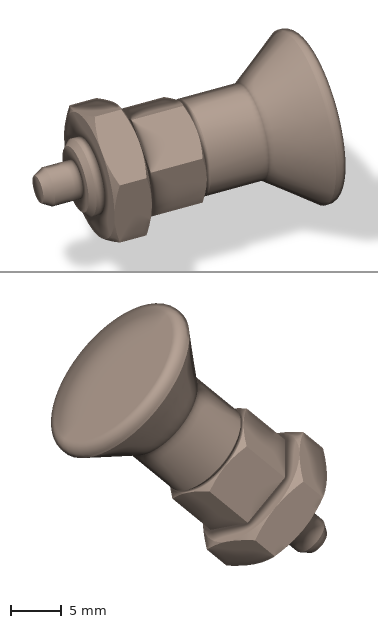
import cadquery as cq
import math


pin_diameter = 4.0
pin_tip_length = 1.0
pin_tip_angle = 30
pin_end = 4.0

thread_diameter = 8.0
thread_chamfer = 0.6

hex_chamfer_angle = 30
nut_flats = 13.0
nut_start = 5.5
nut_thickness = 4.0
body_flats = 10.0
body_start = 10.0
body_end = 16.0

sleeve_diameter = 10.0
sleeve_chamfer = 0.4
knob_diameter = 18.0
knob_top = 29.5
cone_start = 22.65
rim_height = 1.35
rim_fillet = 1.0


def revolve_profile(profile):
    """Turn a closed half-section (radius, Y) around the Y axis."""
    return profile.close().revolve(360, (0, 0, 0), (0, 1, 0))


def hex_prism(flats, start, end, chamfer_start):
    """Hexagon along Y with corners at +Z and -Z and turned chamfers on its corners."""
    corner_radius = flats / 2 / math.cos(math.radians(30))
    chamfer_length = (corner_radius - flats / 2) * math.tan(math.radians(hex_chamfer_angle))
    corners = [
        (corner_radius * math.sin(math.radians(60 * i)), corner_radius * math.cos(math.radians(60 * i)))
        for i in range(6)
    ]
    prism = cq.Workplane("XZ", origin=(0, start, 0)).polyline(corners).close().extrude(start - end)

    envelope = cq.Workplane("XY").moveTo(0, start)
    if chamfer_start:
        envelope = envelope.lineTo(flats / 2, start).lineTo(corner_radius, start + chamfer_length)
    else:
        envelope = envelope.lineTo(corner_radius, start)
    envelope = envelope.lineTo(corner_radius, end - chamfer_length).lineTo(flats / 2, end).lineTo(0, end)
    return prism.intersect(revolve_profile(envelope))


def make_spindle():
    """Tapered pin and the chamfered threaded body behind it."""
    pin_radius = pin_diameter / 2
    tip_radius = pin_radius - pin_tip_length * math.tan(math.radians(pin_tip_angle))
    thread_radius = thread_diameter / 2
    return revolve_profile(
        cq.Workplane("XY")
        .lineTo(tip_radius, 0)
        .lineTo(pin_radius, pin_tip_length)
        .lineTo(pin_radius, pin_end)
        .lineTo(thread_radius - thread_chamfer, pin_end)
        .lineTo(thread_radius, pin_end + thread_chamfer)
        .lineTo(thread_radius, body_end)
        .lineTo(0, body_end)
    )


def make_knob():
    """Sleeve flaring through a cone into a rim with a rounded top edge."""
    sleeve_radius = sleeve_diameter / 2
    knob_radius = knob_diameter / 2
    fillet_center = (knob_radius - rim_fillet, knob_top - rim_fillet)
    fillet_offset = rim_fillet * math.sin(math.radians(45))
    return revolve_profile(
        cq.Workplane("XY")
        .moveTo(0, body_end)
        .lineTo(sleeve_radius - sleeve_chamfer, body_end)
        .lineTo(sleeve_radius, body_end + sleeve_chamfer)
        .lineTo(sleeve_radius, cone_start)
        .lineTo(knob_radius, knob_top - rim_height)
        .lineTo(knob_radius, knob_top - rim_fillet)
        .threePointArc(
            (fillet_center[0] + fillet_offset, fillet_center[1] + fillet_offset),
            (knob_radius - rim_fillet, knob_top),
        )
        .lineTo(0, knob_top)
    )


lock_nut = hex_prism(nut_flats, nut_start, nut_start + nut_thickness, chamfer_start=True)
body_hex = hex_prism(body_flats, body_start, body_end, chamfer_start=False)

result = make_spindle().union(lock_nut).union(body_hex).union(make_knob())